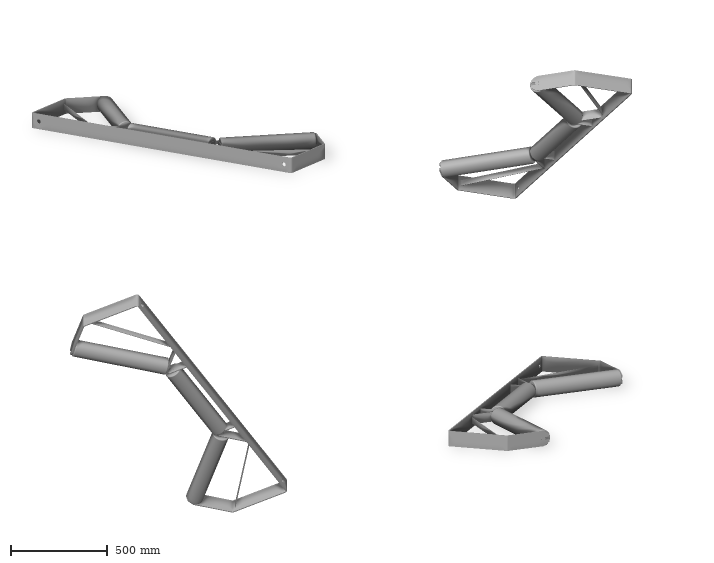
import cadquery as cq
import math

frame_length = 1600.0
frame_width = 82.0
bracket_width = 50.0
strip_thickness = 6.0
outer_bend_radius = 2 * strip_thickness
inner_bend_radius = outer_bend_radius - strip_thickness

roller_diameter = 90.0
roller_length = 500.0
end_rounding = 5.0
end_gap = 3.0
shaft_diameter = 20.0
shaft_flat_width = 15.0
tilt = 45.0
middle_axis_y = 100.0
side_center_x = 467.0
side_center_y = 290.0

tip_above_axis = 34.0
tip_width = 42.0
tip_chamfer_length = 32.0
bracket_top_y = 123.0
slot_cut_width = 4 * strip_thickness

hole_diameter = 22.0
hole_end_distance = 46.0

brace_thickness = 3.0
brace_width = 30.0
brace_wall_y = 309.0
brace_base_x = 403.0

sides = (-1, 1)
half_length = frame_length / 2
inner_wall_x = half_length - strip_thickness

seat = roller_length / 2 + end_gap
seat_back = seat + strip_thickness

along_x = math.cos(math.radians(tilt))
along_y = math.sin(math.radians(tilt))


def side_point(along, across):
    """Point placed from the right-hand roller's centre, along its axis and upward across it."""
    return (
        side_center_x + along * along_x - across * along_y,
        side_center_y + along * along_y + across * along_x,
    )


def mirrored(points, side):
    """The points as given for the right side (1), or reflected for the left side (-1)."""
    return [(side * x, y) for x, y in points]


def extruded(points, width):
    """Prism with the given XY outline, centred on Z = 0."""
    return cq.Workplane("XY", origin=(0, 0, -width / 2)).polyline(points).close().extrude(width)


def rounded_bends(strip, points, radius):
    """Round the bend edges that run along Z through the given XY points."""
    for x, y in points:
        strip = strip.edges(cq.NearestToPointSelector((x, y, 0))).fillet(radius)
    return strip


def handed(body, side):
    """The body as given for the right side (1), or reflected for the left side (-1)."""
    return body if side > 0 else body.mirror("YZ")


def placed_along_roller(body, side):
    """Move a body lying along X at the origin onto the tilted side roller's axis."""
    turned = body.rotate((0, 0, 0), (0, 0, 1), side * tilt)
    return turned.translate((side * side_center_x, side_center_y, 0))


def x_on_tilted_plane(along, y):
    """X where the plane across the side roller's axis at `along` reaches height y."""
    return side_center_x + (along - (y - side_center_y) * along_y) / along_x


def y_on_tilted_plane(along, x):
    """Height where the plane across the side roller's axis at `along` reaches x."""
    return side_center_y + (along - (x - side_center_x) * along_x) / along_y


def shaft_slot():
    """Open slot through a strip lying across the roller axis, from the shaft's underside upward."""
    height = shaft_diameter / 2 + roller_diameter
    return (
        cq.Workplane("XY")
        .box(slot_cut_width, height, shaft_flat_width, centered=(True, False, True))
        .translate((seat + strip_thickness / 2, -shaft_diameter / 2, 0))
    )


def tip_corner_cutter():
    """Two wedges that narrow the frame's tilted end plate toward its tip."""
    corner = [
        (tip_above_axis - tip_chamfer_length, frame_width / 2),
        (tip_above_axis, tip_width / 2),
        (tip_above_axis, frame_width / 2),
    ]
    wedge = (
        cq.Workplane("YZ", origin=(seat, 0, 0))
        .polyline(corner)
        .close()
        .extrude(strip_thickness)
    )
    return wedge.union(wedge.mirror("XY"))


def base_hole(side):
    """Cutter for the round hole through the base near one end."""
    center_x = side * (half_length - hole_end_distance)
    base = cq.Workplane("XZ", origin=(center_x, strip_thickness, 0))
    return base.circle(hole_diameter / 2).extrude(strip_thickness)


def make_frame():
    """Base, upright end walls and tilted end plates, bent from one strip."""
    outer_bend = (half_length, y_on_tilted_plane(seat_back, half_length))
    inner_bend = (inner_wall_x, y_on_tilted_plane(seat, inner_wall_x))
    outer_half = [
        (half_length, 0),
        outer_bend,
        side_point(seat_back, tip_above_axis),
        side_point(seat, tip_above_axis),
        inner_bend,
        (inner_wall_x, strip_thickness),
    ]
    outline = outer_half + mirrored(outer_half, -1)[::-1]
    frame = extruded(outline, frame_width)
    for side in sides:
        outer_bends = mirrored([(half_length, 0), outer_bend], side)
        inner_bends = mirrored([(inner_wall_x, strip_thickness), inner_bend], side)
        frame = rounded_bends(frame, outer_bends, outer_bend_radius)
        frame = rounded_bends(frame, inner_bends, inner_bend_radius)
        cutter = handed(shaft_slot().union(tip_corner_cutter()), side)
        frame = frame.cut(placed_along_roller(cutter, side))
        frame = frame.cut(base_hole(side))
    return frame


def make_bracket(side):
    """Bent strip between the middle roller and one side roller, standing on the base."""
    under_top_y = bracket_top_y - strip_thickness
    outer_bends = [
        (seat, bracket_top_y),
        (x_on_tilted_plane(-seat, bracket_top_y), bracket_top_y),
    ]
    inner_bends = [
        (seat_back, under_top_y),
        (x_on_tilted_plane(-seat_back, under_top_y), under_top_y),
    ]
    outline = [
        (seat, strip_thickness),
        *outer_bends,
        (x_on_tilted_plane(-seat, strip_thickness), strip_thickness),
        (x_on_tilted_plane(-seat_back, strip_thickness), strip_thickness),
        *inner_bends[::-1],
        (seat_back, strip_thickness),
    ]
    bracket = extruded(mirrored(outline, side), bracket_width)
    bracket = rounded_bends(bracket, mirrored(outer_bends, side), outer_bend_radius)
    bracket = rounded_bends(bracket, mirrored(inner_bends, side), inner_bend_radius)
    middle_slot = handed(shaft_slot(), side).translate((0, middle_axis_y, 0))
    tilted_slot = handed(shaft_slot(), -side)
    return bracket.cut(middle_slot).cut(placed_along_roller(tilted_slot, side))


def make_brace(side):
    """Flat bar sloping from the frame's end wall down to its base."""
    run = inner_wall_x - brace_base_x
    rise = brace_wall_y - strip_thickness
    slope_length = math.hypot(run, rise)
    outline = [
        (inner_wall_x, brace_wall_y),
        (brace_base_x, strip_thickness),
        (brace_base_x + brace_thickness * slope_length / rise, strip_thickness),
        (inner_wall_x, brace_wall_y - brace_thickness * slope_length / run),
    ]
    return extruded(mirrored(outline, side), brace_width)


def cylinder_along_x(diameter, length):
    """Cylinder centred on the origin, with its seam on top."""
    base = cq.Workplane(cq.Plane(origin=(-length / 2, 0, 0), xDir=(0, 0, 1), normal=(1, 0, 0)))
    return base.circle(diameter / 2).extrude(length)


def make_roller():
    """Roller along X at the origin; its flattened shaft ends flush with the strips' far faces."""
    drum = cylinder_along_x(roller_diameter, roller_length).edges("%CIRCLE").fillet(end_rounding)
    shaft_length = 2 * seat_back
    flats = cq.Workplane("XY").box(shaft_length, shaft_diameter, shaft_flat_width)
    shaft = cylinder_along_x(shaft_diameter, shaft_length).intersect(flats)
    return drum.union(shaft)


frame = make_frame()
brackets = [make_bracket(side) for side in sides]
braces = [make_brace(side) for side in sides]
middle_roller = make_roller().translate((0, middle_axis_y, 0))
side_rollers = [placed_along_roller(make_roller(), side) for side in sides]

bodies = [frame, *brackets, *braces, middle_roller, *side_rollers]
result = cq.Compound.makeCompound([body.val() for body in bodies])